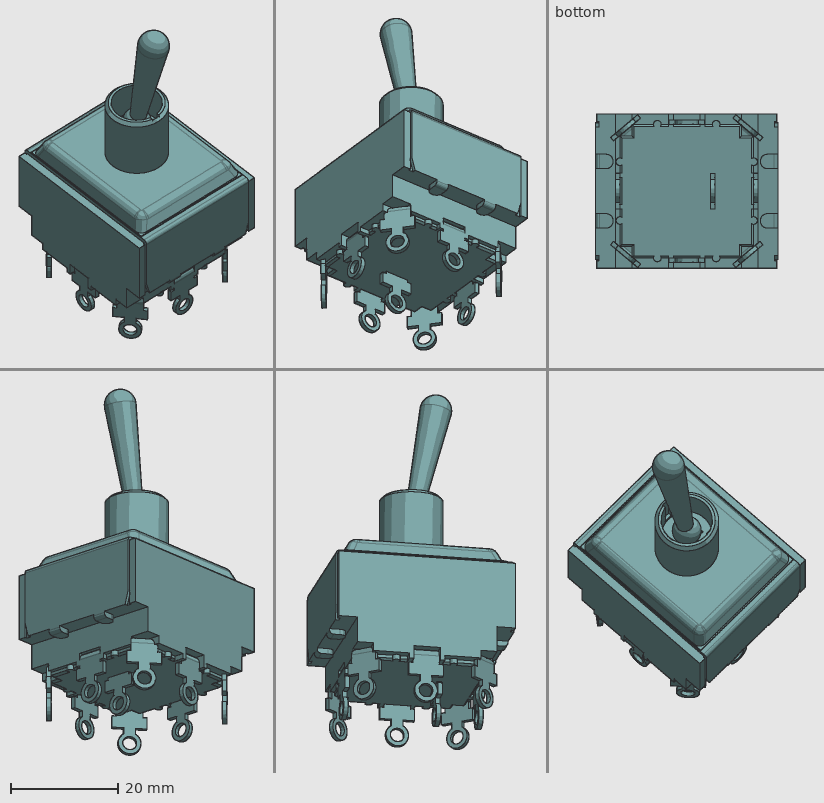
import cadquery as cq
import math


frame_length = 34.0
frame_width = 25.55
frame_top = 28.8
frame_bottom = 15.25
frame_edge_radius = 0.7
frame_taper_height = 2.75
frame_taper_inset = 0.8

hook_spacing = 11.1
hook_width = 2.7
hook_bottom = 14.2
hook_reach = 3.25
hook_tip_radius = 1.25
hook_bend_radius = 0.8

case_length = 33.6
case_width = 28.8
case_top = 28.0
case_end_recess_width = 25.85
case_end_recess_depth = 0.45
case_bottom = 15.25
base_length = 26.6
base_bottom = 10.35
skirt_bottom = 8.85
core_bottom = 7.9
core_chamfer = 0.4
corner_notch_x = 10.2
corner_notch_y = 10.3
post_width = 0.85
peg_spacing = 10.95
peg_radius = 0.7

cap_top = 32.0
cap_length = 30.35
cap_width = 25.3
cap_taper = 24
cap_corner_radius = 1.6
cap_top_radius = 1.8
cap_lip = 0.2

bushing_diameter = 11.9
bushing_top = 44.4
bushing_chamfer = 0.65
bore_diameter = 9.5
bore_floor = 37.45
keyway_width = 1.7
keyway_floor = 5.4
guide_width = 5.15
slot_start = -1.7
floor_step = 0.3

ball_diameter = 5.4
pivot_height = 39.6
lever_root_radius = 1.55
lever_tip_radius = 3.0
lever_tilt = 11.7
lever_top = 65.15

terminal_face = 13.3
terminal_thickness = 0.85
strip_width = 5.0
shoulder_width = 6.6
shoulder_top = 7.4
shoulder_bottom = 5.15
neck_width = 2.2
eye_diameter = 4.3
eye_hole_diameter = 2.6
bend_radius = 1.3
leg_length = 3.9
corner_terminal_x = 11.65
corner_terminal_y = 12.1
corner_terminal_angle = 40
inner_terminal_x = 4.8


def block(length, width, bottom, top):
    return cq.Workplane("XY", origin=(0, 0, bottom)).rect(length, width).extrude(top - bottom)


def span(x0, x1, y0, y1, bottom, top):
    """Box between two limits along each axis."""
    return block(x1 - x0, y1 - y0, bottom, top).translate(((x0 + x1) / 2, (y0 + y1) / 2, 0))


def make_frame():
    strap = block(frame_length, frame_width, frame_bottom, frame_top)
    strap = strap.edges("|Y and >Z").fillet(frame_edge_radius)
    half_width = frame_width / 2
    for side in (1, -1):
        corner = (
            cq.Workplane("YZ", origin=(-frame_length / 2, 0, 0))
            .moveTo(side * half_width, frame_bottom)
            .lineTo(side * half_width, frame_bottom + frame_taper_height)
            .lineTo(side * (half_width - frame_taper_inset), frame_bottom)
            .close()
            .extrude(frame_length)
        )
        strap = strap.cut(corner)
    return strap


def make_hook():
    """One hook at the +X end with a rounded tip pointing to the centre."""
    outer = frame_length / 2
    tip = outer - hook_reach
    half = hook_width / 2
    hook = span(tip, outer, -half, half, hook_bottom, frame_bottom)
    hook = hook.edges("|Z and <X").fillet(hook_tip_radius)
    return hook.edges("|Y and >X and <Z").fillet(hook_bend_radius)


def make_case():
    """Case block with shallow recesses in its X ends for the sides of the strap."""
    case = block(case_length, case_width, case_bottom, case_top)
    floor_length = case_length - 2 * case_end_recess_depth
    recesses = block(case_length, case_end_recess_width, case_bottom, case_top)
    recesses = recesses.cut(block(floor_length, case_end_recess_width, case_bottom, case_top))
    return case.cut(recesses)


def make_base():
    """Lower case: solid block, then a notched skirt around the core that holds the terminals."""
    half_x = base_length / 2
    half_y = case_width / 2
    half_strip = strip_width / 2
    post_end = half_strip + post_width
    core_half = terminal_face - terminal_thickness
    base = block(base_length, case_width, base_bottom, case_bottom)

    core = block(2 * corner_notch_x, 2 * core_half, core_bottom, base_bottom)
    core = core.union(block(2 * core_half, 2 * corner_notch_y, core_bottom, base_bottom))
    base = base.union(core.faces("<Z").chamfer(core_chamfer))

    skirt_x = span(half_strip, corner_notch_x, -half_y, half_y, skirt_bottom, base_bottom)
    post_x = span(half_strip, post_end, -half_y, half_y, core_bottom, base_bottom)
    skirt_y = span(-half_x, half_x, half_strip, corner_notch_y, skirt_bottom, base_bottom)
    post_y = span(-half_x, half_x, half_strip, post_end, core_bottom, base_bottom)
    for piece in (skirt_x, post_x, skirt_y, post_y):
        base = base.union(piece).union(piece.rotate((0, 0, 0), (0, 0, 1), 180))

    peg_offset = peg_spacing / 2
    pegs = [(sx * peg_offset, sy * core_half) for sx in (1, -1) for sy in (1, -1)]
    pegs += [(y, x) for x, y in pegs]
    peg_height = base_bottom - core_bottom
    return base.union(
        cq.Workplane("XY", origin=(0, 0, core_bottom)).pushPoints(pegs).circle(peg_radius).extrude(peg_height)
    )


def make_cap():
    height = cap_top - frame_top
    cap = (
        cq.Workplane("XY", origin=(0, 0, frame_top))
        .rect(cap_length, cap_width)
        .extrude(height, taper=cap_taper)
    )
    cap = cap.edges("not(|X or |Y)").fillet(cap_corner_radius)
    cap = cap.faces(">Z").edges().fillet(cap_top_radius)
    lip = block(cap_length + 2 * cap_lip, cap_width, frame_top, frame_top + cap_lip)
    return cap.union(lip)


def make_bushing():
    radius = bushing_diameter / 2
    bushing = cq.Workplane("XY", origin=(0, 0, frame_top)).circle(radius).extrude(bushing_top - frame_top)
    bushing = bushing.faces(">Z").edges().chamfer(bushing_chamfer)

    depth = bushing_top - bore_floor
    half_guide = guide_width / 2
    bore = cq.Workplane("XY", origin=(0, 0, bore_floor)).circle(bore_diameter / 2).extrude(depth)
    pad_top = bore_floor + floor_step
    arms = block(guide_width, bore_diameter, bore_floor, pad_top)
    arms = arms.union(block(bore_diameter, guide_width, bore_floor, pad_top))
    pads = block(bore_diameter, bore_diameter, bore_floor, pad_top).cut(arms)
    keyway = span(0, keyway_floor, -keyway_width / 2, keyway_width / 2, pad_top, bushing_top)
    slot = span(slot_start, bore_diameter / 2, -half_guide, half_guide, bore_floor - floor_step, bore_floor)
    slot = slot.intersect(bore.translate((0, 0, -floor_step)))
    return bushing.cut(bore.cut(pads)).cut(keyway).cut(slot)


def make_lever():
    """Ball, tapered shaft and round tip turned about one axis, tilted towards +X about the ball."""
    ball_radius = ball_diameter / 2
    tip_height = (lever_top - lever_tip_radius - pivot_height) / math.cos(math.radians(lever_tilt))
    root_height = math.sqrt(ball_radius**2 - lever_root_radius**2)
    arc_x = lever_tip_radius * math.sin(math.pi / 4)
    lever = (
        cq.Workplane("XZ")
        .moveTo(0, -ball_radius)
        .threePointArc((ball_radius, 0), (lever_root_radius, root_height))
        .lineTo(lever_tip_radius, tip_height)
        .threePointArc((arc_x, tip_height + arc_x), (0, tip_height + lever_tip_radius))
        .close()
        .revolve(360, (0, 0, 0), (0, 1, 0))
    )
    return lever.rotate((0, 0, 0), (0, 1, 0), lever_tilt).translate((0, 0, pivot_height))


def make_terminal():
    """Solder lug with its outer face on Y = 0, facing -Y, and its top bent back to +Y."""
    eye_height = eye_diameter / 2

    def plate(width, bottom, top):
        return span(-width / 2, width / 2, 0, terminal_thickness, bottom, top)

    strip = (
        cq.Workplane("YZ", origin=(-strip_width / 2, 0, 0))
        .moveTo(0, shoulder_bottom)
        .lineTo(0, base_bottom - bend_radius)
        .radiusArc((bend_radius, base_bottom), bend_radius)
        .lineTo(leg_length, base_bottom)
        .lineTo(leg_length, base_bottom - terminal_thickness)
        .lineTo(bend_radius, base_bottom - terminal_thickness)
        .radiusArc((terminal_thickness, base_bottom - bend_radius), terminal_thickness - bend_radius)
        .lineTo(terminal_thickness, shoulder_bottom)
        .close()
        .extrude(strip_width)
    )
    front = cq.Workplane("XZ", origin=(0, terminal_thickness, eye_height))
    eye = front.circle(eye_diameter / 2).extrude(terminal_thickness)
    hole = front.circle(eye_hole_diameter / 2).extrude(terminal_thickness)
    lug = plate(shoulder_width, shoulder_bottom, shoulder_top)
    lug = lug.union(plate(neck_width, eye_height, shoulder_bottom))
    return strip.union(lug).union(eye).cut(hole)


def make_terminals():
    lug = make_terminal()
    a = corner_terminal_angle
    x, y = corner_terminal_x, corner_terminal_y
    places = [
        (0, -terminal_face, 0),
        (terminal_face, 0, 90),
        (0, terminal_face, 180),
        (-terminal_face, 0, 270),
        (x, -y, a),
        (x, y, 180 - a),
        (-x, y, 180 + a),
        (-x, -y, -a),
        (inner_terminal_x + terminal_thickness / 2, 0, 90),
    ]
    return [lug.rotate((0, 0, 0), (0, 0, 1), turn).translate((px, py, 0)) for px, py, turn in places]


result = make_base()
result = result.union(make_case())
result = result.union(make_frame())
for hook_y in (-hook_spacing / 2, hook_spacing / 2):
    hook = make_hook().translate((0, hook_y, 0))
    result = result.union(hook).union(hook.mirror("YZ"))
result = result.union(make_cap()).union(make_bushing()).union(make_lever())
for terminal in make_terminals():
    result = result.union(terminal)